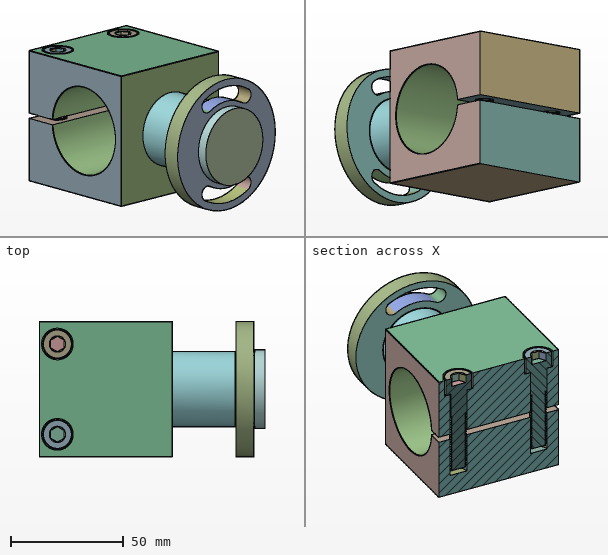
import cadquery as cq
import math

BLOCK_LENGTH = 59.0
BLOCK_SIZE = 60.0
BLOCK_CHAMFER = 0.25
BORE_DIAMETER = 40.0
BORE_X = 35.0
SPLIT_GAP = 2.4

TOTAL_LENGTH = 100.0
STEM_DIAMETER = 33.5
CAP_DIAMETER = 35.0
CAP_LENGTH = 5.0
FLANGE_DIAMETER = 60.0
FLANGE_THICKNESS = 8.0
RELIEF_WIDTH = 0.3
RELIEF_DEPTH = 0.3

SLOT_WIDTH = 6.7
SLOT_RADIUS = 23.3
SLOT_HALF_ANGLE = 30.0

SCREW_X = 8.0
SCREW_SPACING = 40.0
SCREW_LENGTH = 40.0
HEAD_DIAMETER = 13.0
HEAD_HEIGHT = 8.0
HEAD_CHAMFER = 0.3
SOCKET_FLATS = 6.0
SOCKET_RIM_DIAMETER = 7.2
SOCKET_RIM_ANGLE = 30.0
SOCKET_DEPTH = 4.0
THREAD_DIAMETER = 8.0
THREAD_CORE_DIAMETER = 6.7
THREAD_PITCH = 1.25
THREAD_LENGTH = 28.0
THREAD_BASE_WIDTH = 1.1
THREAD_ROOT_OVERLAP = 0.1

HOLE_DIAMETER = 8.1
COUNTERBORE_DIAMETER = 14.0
HOLE_END_CLEARANCE = 2.0

BLOCK_TOP = BLOCK_SIZE / 2
SEAT_Z = BLOCK_TOP - HEAD_HEIGHT
SCREW_END_Z = SEAT_Z - SCREW_LENGTH
FLANGE_END = TOTAL_LENGTH - CAP_LENGTH
FLANGE_START = FLANGE_END - FLANGE_THICKNESS
SCREW_POSITIONS = [(SCREW_X, side * SCREW_SPACING / 2) for side in (-1, 1)]


def disc_x(diameter, start, end):
    """Cylinder about the X axis from X = start to X = end."""
    return cq.Workplane("YZ").workplane(offset=start).circle(diameter / 2).extrude(end - start)


def cylinder_z(diameter, bottom, top):
    """Cylinder about the Z axis from Z = bottom to Z = top."""
    return cq.Workplane("XY").workplane(offset=bottom).circle(diameter / 2).extrude(top - bottom)


def make_block():
    """Split clamp block with its bore and counterbored screw holes."""
    block = cq.Workplane("XY").box(BLOCK_LENGTH, BLOCK_SIZE, BLOCK_SIZE, centered=(False, True, True))
    block = block.edges("|X or >X").chamfer(BLOCK_CHAMFER)
    bore_plane = cq.Plane(origin=(BORE_X, 0, 0), xDir=(-1, 0, 0), normal=(0, 1, 0))
    bore = cq.Workplane(bore_plane).circle(BORE_DIAMETER / 2).extrude(BLOCK_SIZE / 2, both=True)
    block = block.cut(bore)
    block = block.edges("%CIRCLE").chamfer(BLOCK_CHAMFER)
    gap = cq.Workplane("XY").box(BORE_X, BLOCK_SIZE, SPLIT_GAP, centered=(False, True, True))
    block = block.cut(gap)
    hole = cylinder_z(HOLE_DIAMETER, SCREW_END_Z - HOLE_END_CLEARANCE, BLOCK_TOP)
    hole = hole.union(cylinder_z(COUNTERBORE_DIAMETER, SEAT_Z, BLOCK_TOP))
    for x, y in SCREW_POSITIONS:
        block = block.cut(hole.translate((x, y, 0)))
    return block


def slot_point(radius, angle):
    """Point (Y, Z) at a radius from the stem axis, at an angle measured from +Z."""
    return radius * math.sin(math.radians(angle)), radius * math.cos(math.radians(angle))


def make_flange_slot():
    """Round-ended arc slot centred on the +Z side of the stem."""
    inner = SLOT_RADIUS - SLOT_WIDTH / 2
    outer = SLOT_RADIUS + SLOT_WIDTH / 2
    tip = math.hypot(SLOT_RADIUS, SLOT_WIDTH / 2)
    tip_angle = SLOT_HALF_ANGLE + math.degrees(math.atan2(SLOT_WIDTH / 2, SLOT_RADIUS))
    return (
        cq.Workplane("YZ").workplane(offset=FLANGE_START)
        .moveTo(*slot_point(inner, -SLOT_HALF_ANGLE))
        .threePointArc((0, inner), slot_point(inner, SLOT_HALF_ANGLE))
        .threePointArc(slot_point(tip, tip_angle), slot_point(outer, SLOT_HALF_ANGLE))
        .threePointArc((0, outer), slot_point(outer, -SLOT_HALF_ANGLE))
        .threePointArc(slot_point(tip, -tip_angle), slot_point(inner, -SLOT_HALF_ANGLE))
        .close()
        .extrude(FLANGE_THICKNESS)
    )


def make_stem():
    """Stem carrying the slotted flange and the end cap."""
    flange = disc_x(FLANGE_DIAMETER, FLANGE_START, FLANGE_END)
    slot = make_flange_slot()
    for angle in (0, 180):
        flange = flange.cut(slot.rotate((0, 0, 0), (1, 0, 0), angle))
    core = disc_x(STEM_DIAMETER - 2 * RELIEF_DEPTH, BLOCK_LENGTH, TOTAL_LENGTH)
    stem = disc_x(STEM_DIAMETER, BLOCK_LENGTH, FLANGE_START - RELIEF_WIDTH)
    cap = disc_x(CAP_DIAMETER, FLANGE_END + RELIEF_WIDTH, TOTAL_LENGTH)
    return stem.union(core).union(flange).union(cap)


def make_thread():
    """Helical V ridge of the screw thread."""
    root = THREAD_CORE_DIAMETER / 2 - THREAD_ROOT_OVERLAP
    crest = THREAD_DIAMETER / 2
    half_base = THREAD_BASE_WIDTH / 2
    start = SCREW_END_Z + half_base
    helix = cq.Wire.makeHelix(THREAD_PITCH, THREAD_LENGTH - THREAD_BASE_WIDTH, root)
    helix = helix.translate(cq.Vector(0, 0, start))
    return (
        cq.Workplane("XZ")
        .polyline([(root, start - half_base), (crest, start), (root, start + half_base)])
        .close()
        .sweep(cq.Workplane(obj=helix), isFrenet=True)
        .rotate((0, 0, 0), (0, 0, 1), 180)
    )


def make_screw():
    """Socket head cap screw about the Z axis."""
    head = cylinder_z(HEAD_DIAMETER, SEAT_Z, BLOCK_TOP).faces(">Z").chamfer(HEAD_CHAMFER)
    socket = (
        cq.Workplane("XY").workplane(offset=BLOCK_TOP - SOCKET_DEPTH)
        .polygon(6, SOCKET_FLATS, circumscribed=True).extrude(SOCKET_DEPTH)
    )
    shank = cylinder_z(THREAD_DIAMETER, SCREW_END_Z + THREAD_LENGTH, SEAT_Z)
    core = cylinder_z(THREAD_CORE_DIAMETER, SCREW_END_Z, SCREW_END_Z + THREAD_LENGTH)
    rim_radius = SOCKET_RIM_DIAMETER / 2
    rim_depth = rim_radius * math.tan(math.radians(SOCKET_RIM_ANGLE))
    rim_tip = cq.Vector(0, 0, BLOCK_TOP - rim_depth)
    rim = cq.Workplane(cq.Solid.makeCone(0, rim_radius, rim_depth, pnt=rim_tip))
    return head.cut(socket).cut(rim).union(shank).union(core).union(make_thread())


housing = make_block().union(make_stem())
screw = make_screw()
screws = [screw.translate((x, y, 0)) for x, y in SCREW_POSITIONS]

result = cq.Compound.makeCompound([housing.solids().val(), *[item.solids().val() for item in screws]])